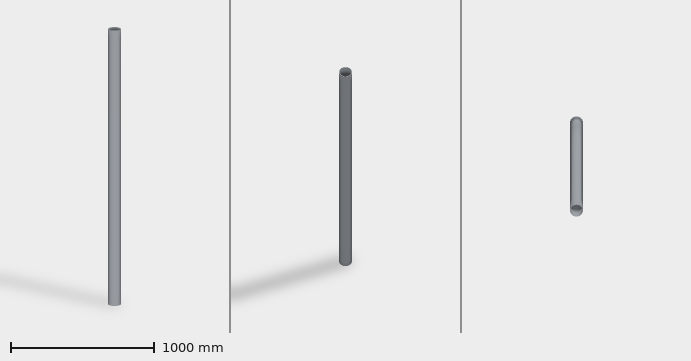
import cadquery as cq

outer_diameter = 90.0
wall_thickness = 3.0
length = 2000.0

inner_diameter = outer_diameter - 2 * wall_thickness


def make_tube():
    """Straight round tube standing on the XY plane, open at both ends."""
    return (
        cq.Workplane("XY")
        .circle(outer_diameter / 2)
        .circle(inner_diameter / 2)
        .extrude(length)
    )


result = make_tube()